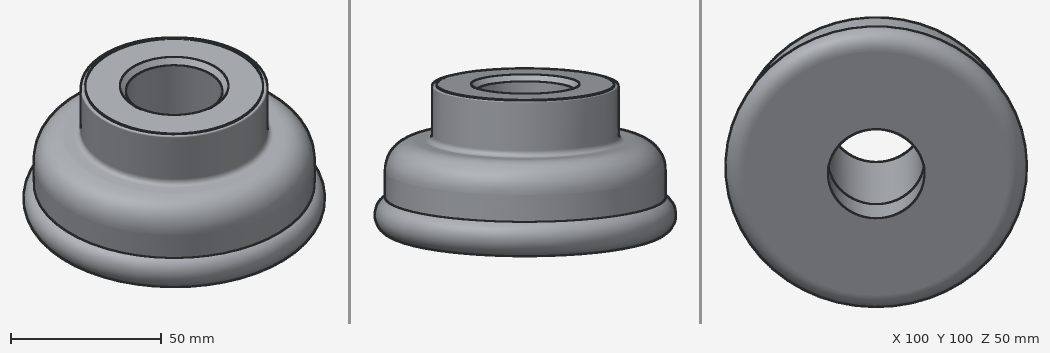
import cadquery as cq
import math

outer_diameter = 100.0
total_height = 50.0

foot_height = 12.0
foot_rim_radius = foot_height / 2
foot_flat_radius = outer_diameter / 2 - foot_rim_radius

base_radius = 93.2 / 2
shoulder_height = 31.0
shoulder_round = 10.0
neck_radius = 62.0 / 2
neck_root_round = 2.0

raised_face_radius = 59.0 / 2
raised_face_step = 0.3
neck_edge_round = 0.5

bore_radius = 32.0 / 2
bore_chamfer = 2.0

arc_midpoint = math.sqrt(0.5)


def make_foot():
    """Revolve the rounded-rim plate about the vertical axis."""
    profile = (
        cq.Workplane("XZ")
        .moveTo(bore_radius, 0)
        .lineTo(foot_flat_radius, 0)
        .threePointArc((outer_diameter / 2, foot_rim_radius), (foot_flat_radius, foot_height))
        .lineTo(bore_radius, foot_height)
        .close()
    )
    return profile.revolve(360, (0, 0, 0), (0, 1, 0))


def make_housing():
    """Revolve the base, neck and chamfered bore about the vertical axis."""
    dome_center_radius = base_radius - shoulder_round
    dome_center_height = shoulder_height - shoulder_round
    dome_middle = (
        dome_center_radius + shoulder_round * arc_midpoint,
        dome_center_height + shoulder_round * arc_midpoint,
    )

    root_center_radius = neck_radius + neck_root_round
    root_center_height = shoulder_height + neck_root_round
    root_middle = (
        root_center_radius - neck_root_round * arc_midpoint,
        root_center_height - neck_root_round * arc_midpoint,
    )

    neck_top = total_height - raised_face_step
    edge_center_radius = neck_radius - neck_edge_round
    edge_center_height = neck_top - neck_edge_round
    edge_middle = (
        edge_center_radius + neck_edge_round * arc_midpoint,
        edge_center_height + neck_edge_round * arc_midpoint,
    )

    profile = (
        cq.Workplane("XZ")
        .moveTo(bore_radius, foot_height)
        .lineTo(base_radius, foot_height)
        .lineTo(base_radius, dome_center_height)
        .threePointArc(dome_middle, (dome_center_radius, shoulder_height))
        .lineTo(root_center_radius, shoulder_height)
        .threePointArc(root_middle, (neck_radius, root_center_height))
        .lineTo(neck_radius, edge_center_height)
        .threePointArc(edge_middle, (edge_center_radius, neck_top))
        .lineTo(raised_face_radius, neck_top)
        .lineTo(raised_face_radius, total_height)
        .lineTo(bore_radius + bore_chamfer, total_height)
        .lineTo(bore_radius, total_height - bore_chamfer)
        .close()
    )
    return profile.revolve(360, (0, 0, 0), (0, 1, 0))


foot = make_foot()
housing = make_housing()

result = cq.Compound.makeCompound([foot.val(), housing.val()])